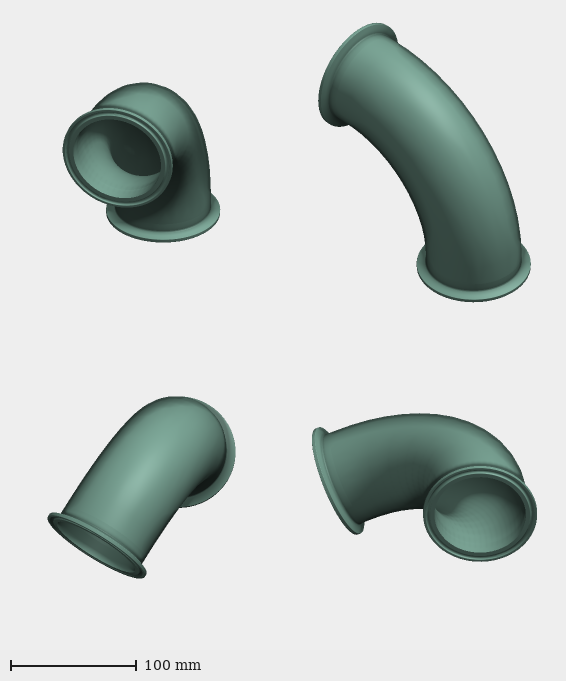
import cadquery as cq
import math

tube_outer_diameter = 76.2
tube_inner_diameter = 72.9
tube_outer_radius = tube_outer_diameter / 2
tube_inner_radius = tube_inner_diameter / 2
bend_radius = 1.5 * tube_outer_diameter
bend_angle = 90

ferrule_length = 12.7
flange_radius = 90.91 / 2
flange_edge_height = 2.85
cone_angle = math.radians(20)
cone_rise = (flange_radius - tube_outer_radius) * math.tan(cone_angle)
cone_top_height = flange_edge_height + cone_rise
neck_fillet = 1.25
rim_fillet = 0.4

groove_mean_radius = 83.3 / 2
groove_half_width = 1.6
groove_depth = 1.6
groove_inner_radius = groove_mean_radius - groove_half_width
groove_outer_radius = groove_mean_radius + groove_half_width
groove_lip_fillet = 0.4

match_tolerance = 0.01


def fillet_circle(body, radius, height, fillet_radius):
    """Round the circular edge of the given radius that lies at a height on the Z axis."""

    def is_wanted(edge):
        same_radius = abs(edge.radius() - radius) < match_tolerance
        same_height = abs(edge.Center().z - height) < match_tolerance
        return same_radius and same_height

    wanted = [edge for edge in body.edges("%CIRCLE").vals() if is_wanted(edge)]
    return body.newObject(wanted).fillet(fillet_radius)


def ferrule():
    """Clamp ferrule on the Z axis, sealing face at Z = 0, tube end upward."""
    profile = (
        cq.Workplane("XZ")
        .moveTo(tube_inner_radius, 0)
        .lineTo(groove_inner_radius, 0)
        .threePointArc((groove_mean_radius, groove_depth), (groove_outer_radius, 0))
        .lineTo(flange_radius, 0)
        .lineTo(flange_radius, flange_edge_height)
        .lineTo(tube_outer_radius, cone_top_height)
        .lineTo(tube_outer_radius, ferrule_length)
        .lineTo(tube_inner_radius, ferrule_length)
        .close()
    )
    body = profile.revolve(360, (0, 0, 0), (0, 1, 0))
    body = fillet_circle(body, tube_outer_radius, cone_top_height, neck_fillet)
    for rim_height in (0, flange_edge_height):
        body = fillet_circle(body, flange_radius, rim_height, rim_fillet)
    for lip_radius in (groove_inner_radius, groove_outer_radius):
        body = fillet_circle(body, lip_radius, 0, groove_lip_fillet)
    return body


def bend():
    """Quarter-torus tube from the origin, rising along +Z and turning toward -Y."""
    ring = cq.Workplane("XY").circle(tube_outer_radius).circle(tube_inner_radius)
    return ring.revolve(bend_angle, (0, -bend_radius, 0), (1, -bend_radius, 0))


lower_ferrule = ferrule().translate((0, 0, -ferrule_length))
side_face_y = -(bend_radius + ferrule_length)
side_ferrule = (
    ferrule()
    .rotate((0, 0, 0), (1, 0, 0), -bend_angle)
    .translate((0, side_face_y, bend_radius))
)

result = bend().union(lower_ferrule).union(side_ferrule)